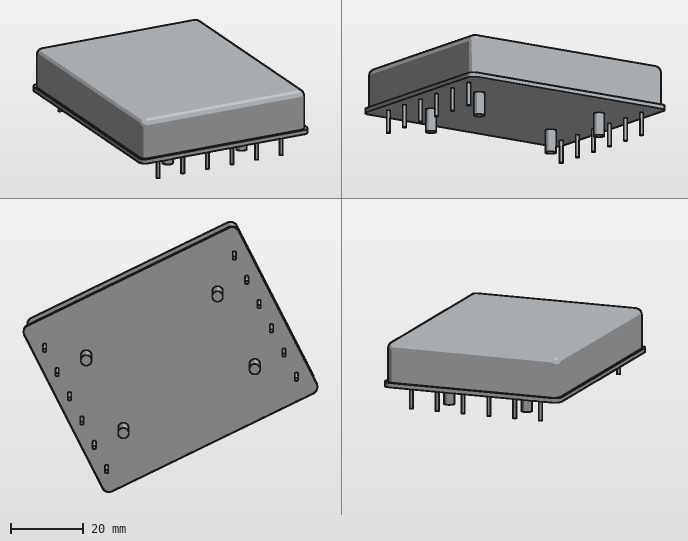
import cadquery as cq

PLATE_LENGTH = 66.05
PLATE_WIDTH = 52.3
PLATE_THICKNESS = 1.25

TOTAL_HEIGHT = 18.9
LEG_LENGTH = 6.35
COVER_INSET_X = 0.8
COVER_INSET_Y = 0.6
CORNER_RADIUS = 2.0
COVER_LENGTH = PLATE_LENGTH - 2 * COVER_INSET_X
COVER_WIDTH = PLATE_WIDTH - 2 * COVER_INSET_Y
COVER_HEIGHT = TOTAL_HEIGHT - LEG_LENGTH - PLATE_THICKNESS

PIN_DIAMETER = 1.0
PIN_COUNT = 6
PIN_PITCH = 7.65
PIN_ROW_SPACING = 58.45
STANDOFF_DIAMETER = 3.0
STANDOFF_SPACING_X = 40.5
STANDOFF_SPACING_Y = 3 * PIN_PITCH


def make_plate():
    plate = cq.Workplane("XY").box(
        PLATE_LENGTH, PLATE_WIDTH, PLATE_THICKNESS, centered=(True, True, False)
    )
    return plate.edges("|Z").fillet(CORNER_RADIUS)


def make_cover():
    """Block with equal rounds on its upright and top edges."""
    block = cq.Workplane("XY", origin=(0, 0, PLATE_THICKNESS)).box(
        COVER_LENGTH, COVER_WIDTH, COVER_HEIGHT, centered=(True, True, False)
    )
    return block.edges("|Z or >Z").fillet(CORNER_RADIUS)


def make_legs(diameter, spacing_x, spacing_y, rows_y):
    """Two columns of round legs hanging from the underside of the plate."""
    return (
        cq.Workplane("XY")
        .rarray(spacing_x, spacing_y, 2, rows_y)
        .circle(diameter / 2)
        .extrude(-LEG_LENGTH)
    )


pins = make_legs(PIN_DIAMETER, PIN_ROW_SPACING, PIN_PITCH, PIN_COUNT)
standoffs = make_legs(STANDOFF_DIAMETER, STANDOFF_SPACING_X, STANDOFF_SPACING_Y, 2)

result = make_plate().union(make_cover()).union(pins).union(standoffs)